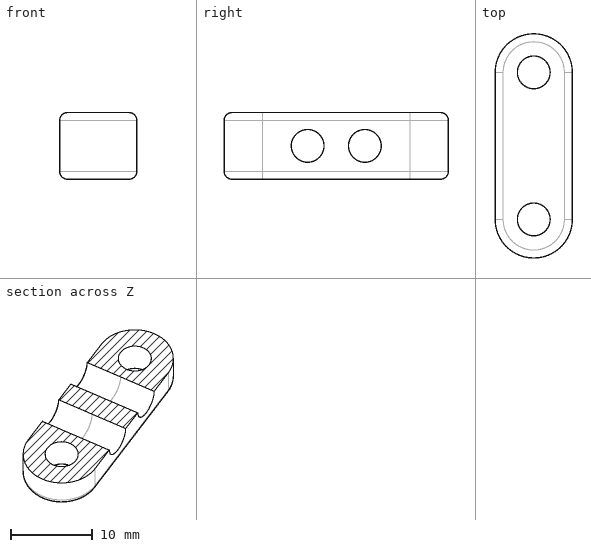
import cadquery as cq

length = 27.5
width = 9.5
height = 8.2
edge_radius = 1.0
hole_diameter = 4.0
cross_hole_spacing = 7.0

end_hole_spacing = length - width


def link_body():
    """Round-ended bar with its top and bottom rims rounded over."""
    bar = cq.Workplane("XY").slot2D(length, width, angle=90).extrude(height / 2, both=True)
    return bar.faces("|Z").edges().fillet(edge_radius)


def hole_pair(plane, spacing, depth):
    """Two through-hole cutters spaced along Y, centred on the part."""
    centres = [(0, -spacing / 2, 0), (0, spacing / 2, 0)]
    cutters = cq.Workplane("XY")
    for centre in centres:
        cutter = cq.Workplane(plane, origin=centre).circle(hole_diameter / 2)
        cutters = cutters.add(cutter.extrude(depth / 2, both=True))
    return cutters.combine()


end_holes = hole_pair("XY", end_hole_spacing, height)
cross_holes = hole_pair("YZ", cross_hole_spacing, width)

result = link_body().cut(end_holes).cut(cross_holes)